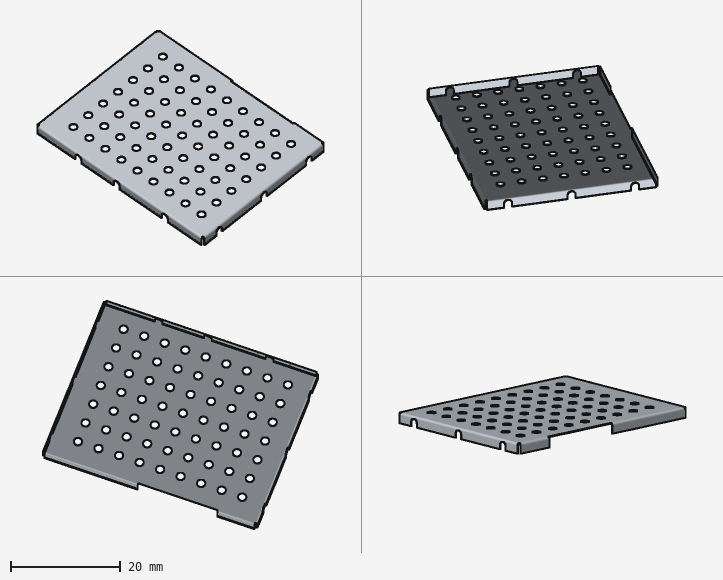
import cadquery as cq

length = 41.8
width = 32.8
height = 2.0

thickness = 0.2
bend_radius = 0.45
inner_radius = bend_radius - thickness
bend_end = height - bend_radius

panel_length = length - 2 * bend_radius
panel_width = width - 2 * bend_radius

hole_diameter = 1.5
hole_columns = 9
hole_rows = 7
hole_row_span = 31.98
hole_pitch = hole_row_span / (hole_columns - 1)
grid_offset_x = 0.45
grid_offset_y = -0.05

notch_width = 1.5
notch_height = bend_end
front_notch_positions = (-10.3, -0.7, 11.3)
side_notch_pitch = 12.0
side_notch_positions = (-side_notch_pitch, 0, side_notch_pitch)

back_opening_start = -2.3
back_opening_end = 13.2


def make_flange(run):
    """Bend and wall along X, centred on X, leaving the panel edge at Y = 0 toward -Y."""
    diagonal = 0.5 ** 0.5
    profile = (
        cq.Workplane("YZ")
        .moveTo(0, height)
        .threePointArc(
            (-bend_radius * diagonal, bend_end + bend_radius * diagonal),
            (-bend_radius, bend_end),
        )
        .lineTo(-bend_radius, 0)
        .lineTo(-inner_radius, 0)
        .lineTo(-inner_radius, bend_end)
        .threePointArc(
            (-inner_radius * diagonal, bend_end + inner_radius * diagonal),
            (0, height - thickness),
        )
        .close()
    )
    return profile.extrude(run / 2, both=True)


def cut_notches(flange, plane, positions):
    """Cut a round-topped notch through the flange, square to the plane, at each position."""
    radius = notch_width / 2
    shoulder = notch_height - radius
    for position in positions:
        notch = (
            cq.Workplane(plane)
            .moveTo(position - radius, 0)
            .lineTo(position - radius, shoulder)
            .threePointArc((position, notch_height), (position + radius, shoulder))
            .lineTo(position + radius, 0)
            .close()
            .extrude(length, both=True)
        )
        flange = flange.cut(notch)
    return flange


def make_panel():
    """Flat top with its grid of round holes."""
    sheet = (
        cq.Workplane("XY", origin=(0, 0, height - thickness))
        .rect(panel_length, panel_width)
        .extrude(thickness)
    )
    holes = (
        cq.Workplane("XY", origin=(grid_offset_x, grid_offset_y, 0))
        .rarray(hole_pitch, hole_pitch, hole_columns, hole_rows)
        .circle(hole_diameter / 2)
        .extrude(height)
    )
    return sheet.cut(holes)


def make_front_flange():
    """Full-length flange on the -Y side, notched."""
    flange = make_flange(panel_length).translate((0, -panel_width / 2, 0))
    return cut_notches(flange, "XZ", front_notch_positions)


def make_back_flange():
    """Flange on the +Y side, open down to the panel edge between its two pieces."""
    flange = make_flange(panel_length).translate((0, -panel_width / 2, 0)).mirror("XZ")
    opening = cq.Workplane("XY").box(
        back_opening_end - back_opening_start, width, height, centered=False
    )
    return flange.cut(opening.translate((back_opening_start, 0, 0)))


def make_left_flange():
    """Flange on the -X side, notched."""
    flange = make_flange(panel_width).rotate((0, 0, 0), (0, 0, 1), -90)
    flange = flange.translate((-panel_length / 2, 0, 0))
    return cut_notches(flange, "YZ", side_notch_positions)


left_flange = make_left_flange()
right_flange = left_flange.mirror("YZ")

result = (
    make_panel()
    .union(make_front_flange())
    .union(make_back_flange())
    .union(left_flange)
    .union(right_flange)
)